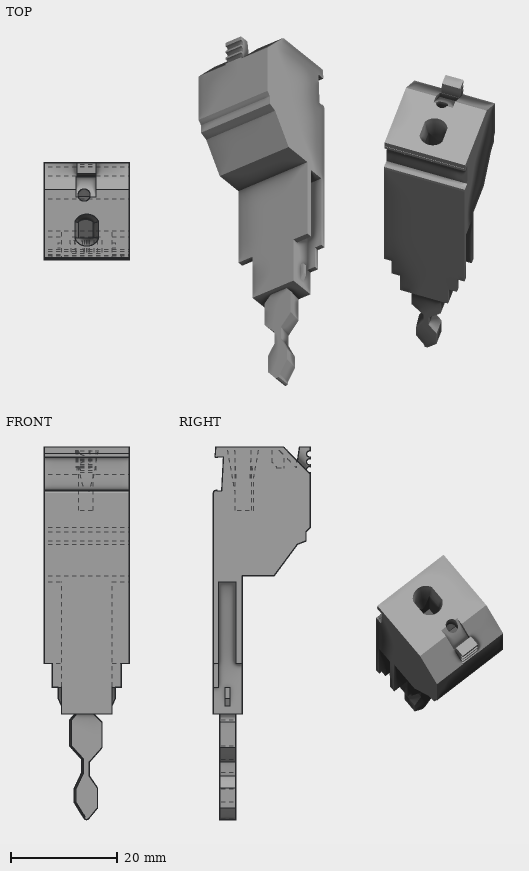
import cadquery as cq


width = 16.0
depth = 18.28
top_z = 50.25
head_bottom_z = 26.03
leg_depth = 5.48
slope_run = 5.05
slope_drop = 5.15
slope_top_y = depth - slope_run

back_steps = [(depth, 35.08), (17.5, 34.3), (17.5, 32.57), (15.83, 31.9), (11.48, head_bottom_z)]

lip_top_y = 0.46
lip_ledge_y = 0.42
lip_bead_y = 0.36
lip_bead_bottom_y = 0.33
lip_ledge_z = top_z - 1.27
lip_bottom_z = top_z - 1.93
lip_hook_y = 0.83
lip_hook_drop = 0.1
groove_top_y = 1.92
groove_bottom_y = 1.58
groove_bottom_z = top_z - 8.28
ridge_back_y = 0.7
ridge_back_height = 0.18
ridge_front_y = 0.15
ridge_front_height = 0.03
ridge_base_drop = 0.44

front_plate_thickness = 1.0
back_plate_y = 4.27
step_1_z = 9.5
step_2_z = 5.05
step_1_width = 13.0
core_width = 9.5
side_pocket_top_z = 24.84

nib_front_y = 2.26
nib_back_y = 3.2
nib_reach = 0.65
nib_slope_z = 3.0
nib_bottom_z = 1.58

lever_left_x = -1.87
lever_right_x = 1.75
lever_top_front_y = 16.22
lever_foot_y = 15.64
lever_root_z = 44.0
recess_left_x = -2.06
recess_front_y = 11.8
tooth_groove_radius = 0.56
tooth_groove_inset = 0.14
tooth_groove_first_drop = 1.32
tooth_groove_pitch = 1.48
tooth_groove_count = 3

screw_hole_x = -0.5
screw_hole_y = 12.2
screw_hole_radius = 1.15
screw_seat_y = 11.92
screw_seat_depth = 4.0
screw_floor_step = 0.3

funnel_front_y = 2.6
funnel_back_y = 8.62
funnel_width = 4.5
funnel_end_rise = 1.43
funnel_depth = 9.0
funnel_taper = 10.0
wire_pocket_x = -0.2
wire_pocket_width = 2.75
wire_pocket_front_y = 4.15
wire_pocket_back_y = 7.6
wire_pocket_back_rise = 0.4
wire_pocket_depth = 12.0

pin_front_y = 1.2
pin_back_y = back_plate_y
pin_flank_lean = 0.38
pin_root_z = 1.0
pin_left_flank = [
    (-2.3, 0.0), (-3.25, -1.1), (-3.25, -5.95), (-0.95, -8.47),
    (-0.95, -10.96), (-2.43, -14.1), (-2.43, -16.5), (-0.75, -19.2),
]
pin_tip = [(-0.4, -19.72), (-0.07, -19.84), (0.25, -19.75)]
pin_right_flank = [
    (0.5, -19.5), (2.05, -17.6), (2.05, -13.9), (0.5, -11.6),
    (0.5, -9.0), (2.88, -6.3), (2.88, -1.5), (1.4, 0.0),
]


def box(x0, x1, y0, y1, z0, z1):
    """Axis-aligned block between two corners."""
    return cq.Workplane("XY").box(x1 - x0, y1 - y0, z1 - z0, centered=False).translate((x0, y0, z0))


def side_prism(points, x0, x1):
    """Prism along X from a closed (Y, Z) outline."""
    return cq.Workplane("YZ", origin=(x0, 0, 0)).polyline(points).close().extrude(x1 - x0)


def make_housing():
    outline = [
        (0, 0),
        (0, groove_bottom_z - ridge_base_drop),
        (ridge_front_y, groove_bottom_z + ridge_front_height),
        (ridge_back_y, groove_bottom_z + ridge_back_height),
        (ridge_back_y, groove_bottom_z),
        (groove_bottom_y, groove_bottom_z),
        (groove_top_y, lip_bottom_z),
        (lip_hook_y, lip_bottom_z),
        (lip_hook_y, lip_bottom_z - lip_hook_drop),
        (lip_bead_bottom_y, lip_bottom_z),
        (lip_bead_y, lip_ledge_z),
        (lip_ledge_y, lip_ledge_z),
        (lip_top_y, top_z),
        (slope_top_y, top_z),
        (depth, top_z - slope_drop),
        *back_steps,
        (leg_depth, head_bottom_z),
        (leg_depth, 0),
    ]
    return side_prism(outline, -width / 2, width / 2)


def cut_both_sides(body, inner_half_width, y0, y1, z0, z1):
    """Trim the body to a narrower width over a Y and Z range, alike on both sides."""
    body = body.cut(box(-width / 2, -inner_half_width, y0, y1, z0, z1))
    return body.cut(box(inner_half_width, width / 2, y0, y1, z0, z1))


def shape_leg(body):
    core_half = core_width / 2
    body = cut_both_sides(body, step_1_width / 2, 0, front_plate_thickness, 0, step_1_z)
    body = cut_both_sides(body, core_half, 0, front_plate_thickness, 0, step_2_z)
    body = cut_both_sides(body, core_half, front_plate_thickness, back_plate_y, 0, side_pocket_top_z)
    return cut_both_sides(body, core_half, back_plate_y, leg_depth, 0, step_1_z)


def make_nibs():
    core_half = core_width / 2
    nib_half = core_half + nib_reach
    outline = [
        (-core_half, nib_bottom_z),
        (-nib_half, nib_slope_z),
        (-nib_half, step_2_z),
        (nib_half, step_2_z),
        (nib_half, nib_slope_z),
        (core_half, nib_bottom_z),
    ]
    plane = cq.Workplane("XZ", origin=(0, nib_back_y, 0))
    return plane.polyline(outline).close().extrude(nib_back_y - nib_front_y)


def recess_floor_z(y):
    """Height of the lever recess floor, which runs parallel to the back bevel."""
    return top_z - (y - recess_front_y) * slope_drop / slope_run


def make_lever_recess():
    outline = [
        (recess_front_y, top_z),
        (lever_foot_y, top_z),
        (lever_foot_y, recess_floor_z(lever_foot_y)),
    ]
    return side_prism(outline, recess_left_x, lever_right_x)


def make_lever():
    outline = [
        (depth, lever_root_z),
        (depth, top_z),
        (lever_top_front_y, top_z),
        (lever_foot_y, recess_floor_z(lever_foot_y)),
        (lever_foot_y, lever_root_z),
    ]
    lever = side_prism(outline, lever_left_x, lever_right_x)
    for index in range(tooth_groove_count):
        groove_z = top_z - tooth_groove_first_drop - index * tooth_groove_pitch
        plane = cq.Workplane("YZ", origin=(lever_left_x, depth - tooth_groove_inset, groove_z))
        lever = lever.cut(plane.circle(tooth_groove_radius).extrude(lever_right_x - lever_left_x))
    return lever


def make_screw_hole():
    left_x = screw_hole_x - screw_hole_radius
    right_x = screw_hole_x + screw_hole_radius
    front_y = screw_hole_y - screw_hole_radius
    back_y = screw_hole_y + screw_hole_radius
    seat_z = top_z - screw_seat_depth
    slope_low_z = seat_z + screw_floor_step
    slope_high_z = slope_low_z + screw_seat_y - front_y
    outline = [
        (front_y, top_z),
        (front_y, slope_high_z),
        (screw_seat_y, slope_low_z),
        (screw_seat_y, seat_z),
        (back_y, seat_z),
        (back_y, top_z),
    ]
    plane = cq.Workplane("XY", origin=(screw_hole_x, screw_hole_y, seat_z))
    bore = plane.circle(screw_hole_radius).extrude(screw_seat_depth)
    return bore.intersect(side_prism(outline, left_x, right_x))


def make_wire_funnel():
    half = funnel_width / 2
    shoulder_front_y = funnel_front_y + funnel_end_rise
    shoulder_back_y = funnel_back_y - funnel_end_rise
    return (
        cq.Workplane("XY", origin=(0, 0, top_z))
        .moveTo(-half, shoulder_front_y)
        .threePointArc((0, funnel_front_y), (half, shoulder_front_y))
        .lineTo(half, shoulder_back_y)
        .threePointArc((0, funnel_back_y), (-half, shoulder_back_y))
        .close()
        .extrude(-funnel_depth, taper=funnel_taper)
    )


def make_wire_pocket():
    half = wire_pocket_width / 2
    shoulder_y = wire_pocket_back_y - wire_pocket_back_rise
    return (
        cq.Workplane("XY", origin=(wire_pocket_x, 0, top_z - wire_pocket_depth))
        .moveTo(-half, wire_pocket_front_y)
        .lineTo(half, wire_pocket_front_y)
        .lineTo(half, shoulder_y)
        .threePointArc((0, wire_pocket_back_y), (-half, shoulder_y))
        .close()
        .extrude(wire_pocket_depth)
    )


def pin_outline(lean):
    """Pin outline in X and Z with the left flank moved inward by lean."""
    left = [(x + lean, z) for x, z in pin_left_flank]
    root = [(pin_right_flank[-1][0], pin_root_z), (left[0][0], pin_root_z)]
    return left + pin_tip + pin_right_flank + root


def make_pin():
    return (
        cq.Workplane("XZ", origin=(0, pin_back_y, 0))
        .polyline(pin_outline(0))
        .close()
        .workplane(offset=pin_back_y - pin_front_y)
        .polyline(pin_outline(pin_flank_lean))
        .close()
        .loft(ruled=True)
    )


housing = shape_leg(make_housing())
housing = housing.cut(make_lever_recess())
housing = housing.cut(make_screw_hole())
housing = housing.cut(make_wire_funnel())
housing = housing.cut(make_wire_pocket())
result = housing.union(make_nibs()).union(make_lever()).union(make_pin())